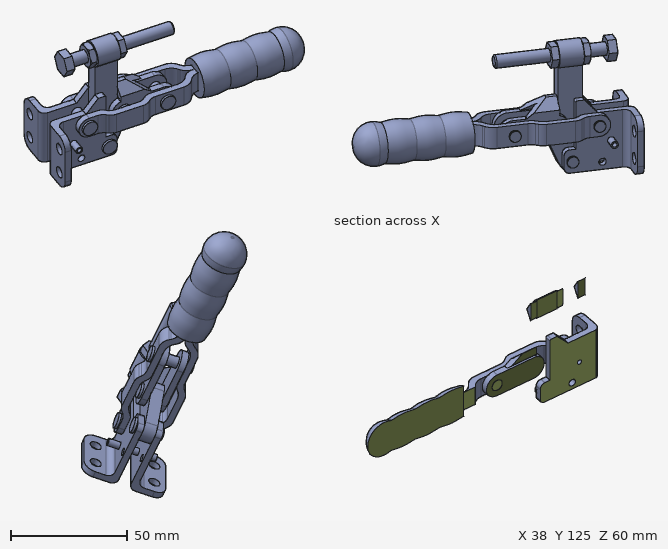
import cadquery as cq
import math


SHEET = 3.0
ARM_HALF = 2.9
INNER_HALF = ARM_HALF + SHEET
LEVER_HALF = INNER_HALF + SHEET
SELECT_MARGIN = 0.01

PIVOT_Z = 22.0
LEVER_PIVOT = (17.1, PIVOT_Z)
LINK_FRONT_PIVOT = (35.6, PIVOT_Z)
LINK_REAR_PIVOT = (55.1, PIVOT_Z)
ARM_LOBE_R = 5.4
ARM_PIVOT = (28.4, ARM_LOBE_R)

SHANK_D = 5.1
HEAD_D = 7.0
HEAD_PROUD = 1.1

FRAME_HALF_WIDTH = 19.0
FRAME_HEIGHT = 27.0
FLANGE_CORNER_R = 5.2
FLANGE_BEND_R = 3.0
FLANGE_HOLE_D = 5.1
FLANGE_HOLE_X = 13.6
FLANGE_HOLE_LEVELS = (7.0, 19.8)
EAR_TOP = 33.6
EAR_BACK = 26.9
EAR_CORNER_R = 0.8
FOOT_BACK = 32.1
FOOT_TOP = 11.0
FOOT_CORNER_R = 2.5
STOP_PIN_AT = (11.0, 13.2)
STOP_PIN_D = 3.2
STOP_PIN_BORE = 2.0
STOP_PIN_HALF_LENGTH = 11.2
SPARE_PIN_HOLE_AT = (14.9, 3.6)

ARM_FRONT = ARM_PIVOT[0] - ARM_LOBE_R
ARM_BACK = 34.0
BOSS_R = 6.0
SPINDLE_Z = 54.0

LINK_END_R = 5.9
ROOF_EAVE_Z = 30.2
ROOF_RIDGE_Z = 35.0
ROOF_CUT_BOTTOM_Y = 49.0
ROOF_CUT_TOP_Y = 38.9

LEVER_HALF_HEIGHT = 5.0
BULGE_BEND_R = 5.2
NECK_BEND_R = 6.1
BULGE_SHIFT = SHEET
BULGE_RUN = 3.9
BULGE_FRONT = 24.1
BULGE_BACK = 46.5
NECK_START = 64.8
NECK_END = 69.0
TANG_END = 100.0

GRIP_FRONT = 73.0
GRIP_END = 125.0
GRIP_BULGE_R = 9.8
GRIP_GROOVE_R = 9.0
GRIP_BULGES = 3
GRIP_BULGE_LENGTH = 13.0
GRIP_DOME_R = 9.1

SPINDLE_D = 6.0
SPINDLE_HEAD_FRONT = 7.9
SPINDLE_HEAD_LENGTH = 4.0
SPINDLE_TIP = 62.0
SPINDLE_TIP_CHAMFER = 0.6
HEX_FLATS = 10.0
HEX_CORNERS = HEX_FLATS / math.cos(math.pi / 6)
NUT_LENGTH = 3.2
NUT_CHAMFER_ANGLE = 30


def x_cylinder(pivot, diameter, x_start, x_end):
    """Cylinder along X between two X positions, centred on a (Y, Z) point."""
    return (cq.Workplane("YZ", origin=(x_start, 0, 0))
            .center(*pivot).circle(diameter / 2).extrude(x_end - x_start))


def y_cylinder(diameter, y_start, y_end):
    """Cylinder on the spindle axis between two Y positions."""
    return (cq.Workplane("XZ", origin=(0, y_start, SPINDLE_Z))
            .circle(diameter / 2).extrude(y_start - y_end))


def y_hexagon(y_start, y_end):
    """Hexagonal prism on the spindle axis with flats on top and bottom."""
    return (cq.Workplane("XZ", origin=(0, y_start, SPINDLE_Z))
            .polygon(6, HEX_CORNERS).extrude(y_start - y_end))


def shank(pivot, half_grip):
    """Rivet shank, also used to cut the matching holes."""
    reach = half_grip + HEAD_PROUD
    return x_cylinder(pivot, SHANK_D, -reach, reach)


def rivet(pivot, half_grip):
    """Rivet holding everything within half_grip of X = 0, head on the +X side."""
    head = x_cylinder(pivot, HEAD_D, half_grip, half_grip + HEAD_PROUD)
    return shank(pivot, half_grip).union(head)


def side_slab(profile, half_thickness):
    """Extrude a profile drawn in Y and Z evenly to both sides of X = 0."""
    return profile.extrude(half_thickness, both=True)


def both_sides(body):
    """A body on the +X side together with its mirror image."""
    return body.union(body.mirror("YZ"))


def make_frame_side():
    """One L-shaped sheet of the frame, on the +X side."""
    outline = (
        cq.Workplane("YZ", origin=(ARM_HALF, 0, 0))
        .moveTo(0, 0)
        .lineTo(FOOT_BACK, 0)
        .lineTo(FOOT_BACK, FOOT_TOP)
        .lineTo(EAR_BACK, FOOT_TOP)
        .lineTo(EAR_BACK, EAR_TOP)
        .lineTo(ARM_FRONT, EAR_TOP)
        .lineTo(LEVER_PIVOT[0], FRAME_HEIGHT)
        .lineTo(0, FRAME_HEIGHT)
        .close()
    )
    plate = outline.extrude(SHEET)
    foot_corners = cq.selectors.BoxSelector(
        (0, FOOT_BACK - SELECT_MARGIN, -SELECT_MARGIN),
        (INNER_HALF, FOOT_BACK + SELECT_MARGIN, FOOT_TOP + SELECT_MARGIN))
    plate = plate.edges("|X").edges(foot_corners).fillet(FOOT_CORNER_R)
    ear_corner = cq.selectors.BoxSelector(
        (0, EAR_BACK - SELECT_MARGIN, EAR_TOP - SELECT_MARGIN),
        (INNER_HALF, EAR_BACK + SELECT_MARGIN, EAR_TOP + SELECT_MARGIN))
    plate = plate.edges("|X").edges(ear_corner).fillet(EAR_CORNER_R)

    flange = cq.Workplane("XY").box(
        FRAME_HALF_WIDTH - ARM_HALF, SHEET, FRAME_HEIGHT, centered=False
    ).translate((ARM_HALF, 0, 0))
    flange = flange.edges("|Y and >X").fillet(FLANGE_CORNER_R)
    side = plate.union(flange)
    outer_bend = cq.selectors.NearestToPointSelector((ARM_HALF, 0, FRAME_HEIGHT / 2))
    side = side.edges(outer_bend).fillet(FLANGE_BEND_R)
    inner_bend = cq.selectors.NearestToPointSelector((INNER_HALF, SHEET, FRAME_HEIGHT / 2))
    side = side.edges(inner_bend).fillet(FLANGE_BEND_R)

    holes = (
        cq.Workplane("XZ")
        .pushPoints([(FLANGE_HOLE_X, level) for level in FLANGE_HOLE_LEVELS])
        .circle(FLANGE_HOLE_D / 2)
        .extrude(-SHEET)
    )
    spare_hole = x_cylinder(SPARE_PIN_HOLE_AT, STOP_PIN_D, 0, INNER_HALF)
    return side.cut(holes).cut(spare_hole)


def make_frame():
    """Both frame sheets, held together by two pivot rivets and the stop pin."""
    frame = both_sides(make_frame_side())
    frame = frame.union(rivet(LEVER_PIVOT, LEVER_HALF))
    frame = frame.union(rivet(ARM_PIVOT, INNER_HALF))
    pin_span = (-STOP_PIN_HALF_LENGTH, STOP_PIN_HALF_LENGTH)
    frame = frame.union(x_cylinder(STOP_PIN_AT, STOP_PIN_D, *pin_span))
    return frame.cut(x_cylinder(STOP_PIN_AT, STOP_PIN_BORE, *pin_span))


def make_arm():
    """Upright bar with a leaning foot between two pivots and a boss on top."""
    bar = side_slab(
        cq.Workplane("YZ")
        .moveTo(ARM_FRONT, ARM_PIVOT[1])
        .lineTo(ARM_PIVOT[0], ARM_PIVOT[1])
        .lineTo(*LINK_FRONT_PIVOT)
        .lineTo(ARM_BACK, PIVOT_Z)
        .lineTo(ARM_BACK, SPINDLE_Z)
        .lineTo(ARM_FRONT, SPINDLE_Z)
        .close(),
        ARM_HALF,
    )
    rise = LINK_FRONT_PIVOT[1] - ARM_PIVOT[1]
    run = LINK_FRONT_PIVOT[0] - ARM_PIVOT[0]
    middle = (ARM_PIVOT[0] + run / 2, ARM_PIVOT[1] + rise / 2)
    foot = side_slab(
        cq.Workplane("YZ")
        .center(*middle)
        .slot2D(math.hypot(run, rise) + 2 * ARM_LOBE_R, 2 * ARM_LOBE_R,
                math.degrees(math.atan2(rise, run))),
        ARM_HALF,
    )
    arm = bar.union(foot).union(y_cylinder(2 * BOSS_R, ARM_FRONT, ARM_BACK))
    arm = arm.cut(y_cylinder(SPINDLE_D, ARM_FRONT, ARM_BACK))
    arm = arm.cut(shank(ARM_PIVOT, INNER_HALF))
    return arm.cut(shank(LINK_FRONT_PIVOT, INNER_HALF))


def make_link():
    """Two round-ended legs joined by a roof behind the arm and the front rivet."""
    length = LINK_REAR_PIVOT[0] - LINK_FRONT_PIVOT[0]
    leg = (
        cq.Workplane("YZ", origin=(ARM_HALF, 0, 0))
        .center(LINK_FRONT_PIVOT[0] + length / 2, PIVOT_Z)
        .slot2D(length + 2 * LINK_END_R, 2 * LINK_END_R)
        .extrude(SHEET)
    )
    leg_top = PIVOT_Z + LINK_END_R
    ridge_half = INNER_HALF - (ROOF_RIDGE_Z - ROOF_EAVE_Z)
    inner_apex_z = INNER_HALF + ROOF_EAVE_Z - SHEET * math.sqrt(2)
    half_roof = (
        cq.Workplane("XZ", origin=(0, ARM_BACK, 0))
        .moveTo(ARM_HALF, PIVOT_Z)
        .lineTo(INNER_HALF, PIVOT_Z)
        .lineTo(INNER_HALF, ROOF_EAVE_Z)
        .lineTo(ridge_half, ROOF_RIDGE_Z)
        .lineTo(0, ROOF_RIDGE_Z)
        .lineTo(0, inner_apex_z)
        .lineTo(inner_apex_z - leg_top, leg_top)
        .lineTo(ARM_HALF, leg_top)
        .close()
        .extrude(ARM_BACK - ROOF_CUT_BOTTOM_Y)
    )
    roof_side = side_slab(
        cq.Workplane("YZ")
        .moveTo(ARM_BACK, PIVOT_Z)
        .lineTo(ROOF_CUT_BOTTOM_Y, PIVOT_Z)
        .lineTo(ROOF_CUT_BOTTOM_Y, leg_top)
        .lineTo(ROOF_CUT_TOP_Y, ROOF_RIDGE_Z)
        .lineTo(ARM_BACK, ROOF_RIDGE_Z)
        .close(),
        INNER_HALF,
    )
    link = both_sides(leg.union(half_roof.intersect(roof_side)))
    link = link.union(rivet(LINK_FRONT_PIVOT, INNER_HALF))
    return link.cut(shank(LINK_REAR_PIVOT, LEVER_HALF))


def offset_path(path, distance):
    """Path of straight runs moved sideways toward +X, keeping its corners sharp."""
    headings = [math.atan2(x2 - x1, y2 - y1) for (x1, y1), (x2, y2) in zip(path, path[1:])]
    before = [headings[0]] + headings
    after = headings + [headings[-1]]
    moved = []
    for (x, y), first, second in zip(path, before, after):
        bisector = (first + second) / 2
        reach = distance / math.cos((second - first) / 2)
        moved.append((x + reach * math.cos(bisector), y - reach * math.sin(bisector)))
    return moved


def make_lever_side():
    """One bent strip of the lever, on the +X side, with a rounded front end."""
    front = LEVER_PIVOT[0] - LEVER_HALF_HEIGHT
    bulge_x = INNER_HALF + BULGE_SHIFT
    inner_path = [
        (INNER_HALF, front),
        (INNER_HALF, BULGE_FRONT),
        (bulge_x, BULGE_FRONT + BULGE_RUN),
        (bulge_x, BULGE_BACK - BULGE_RUN),
        (INNER_HALF, BULGE_BACK),
        (INNER_HALF, NECK_START),
        (0, NECK_END),
        (0, TANG_END),
    ]
    outline = inner_path + offset_path(inner_path, SHEET)[::-1]
    strip = (
        cq.Workplane("XY", origin=(0, 0, PIVOT_Z))
        .polyline(outline).close()
        .extrude(LEVER_HALF_HEIGHT, both=True)
    )
    middle = (BULGE_BACK + NECK_START) / 2
    bend_groups = (
        (LEVER_PIVOT[0], middle, BULGE_BEND_R),
        (middle, TANG_END - SHEET, NECK_BEND_R),
    )
    for y_start, y_end, bend_r in bend_groups:
        bends = cq.selectors.BoxSelector(
            (-FRAME_HALF_WIDTH, y_start, 0), (FRAME_HALF_WIDTH, y_end, FRAME_HEIGHT))
        strip = strip.edges("|Z").edges(bends).fillet(bend_r)
    return strip.edges("|X and <Y").fillet(LEVER_HALF_HEIGHT - SELECT_MARGIN)


def make_lever():
    """Both lever strips with the rivet that carries the rear end of the link."""
    lever = both_sides(make_lever_side())
    lever = lever.union(rivet(LINK_REAR_PIVOT, LEVER_HALF))
    return lever.cut(shank(LEVER_PIVOT, LEVER_HALF))


def make_grip(lever):
    """Turned grip with barrel-shaped bulges and a domed end, fitted over the lever tang."""
    profile = cq.Workplane("XY").moveTo(0, GRIP_FRONT).lineTo(GRIP_GROOVE_R, GRIP_FRONT)
    for index in range(GRIP_BULGES):
        start = GRIP_FRONT + index * GRIP_BULGE_LENGTH
        profile = profile.threePointArc(
            (GRIP_BULGE_R, start + GRIP_BULGE_LENGTH / 2),
            (GRIP_GROOVE_R, start + GRIP_BULGE_LENGTH))
    dome_start = GRIP_END - GRIP_DOME_R
    dome_flat_r = GRIP_BULGE_R - GRIP_DOME_R
    groove_y = GRIP_FRONT + GRIP_BULGES * GRIP_BULGE_LENGTH
    swell_length = dome_start - groove_y
    swell_depth = GRIP_BULGE_R - GRIP_GROOVE_R
    swell_r = (swell_length ** 2 + swell_depth ** 2) / (2 * swell_depth)
    profile = (
        profile
        .radiusArc((GRIP_BULGE_R, dome_start), -swell_r)
        .radiusArc((dome_flat_r, GRIP_END), -GRIP_DOME_R)
        .lineTo(0, GRIP_END)
        .close()
    )
    grip = profile.revolve(360, (0, 0, 0), (0, 1, 0)).translate((0, 0, PIVOT_Z))
    return grip.cut(lever)


def make_spindle():
    """Hexagon-headed screw pointing back toward the grip."""
    rod = y_cylinder(SPINDLE_D, SPINDLE_HEAD_FRONT, SPINDLE_TIP)
    rod = rod.faces(">Y").chamfer(SPINDLE_TIP_CHAMFER)
    return rod.union(y_hexagon(SPINDLE_HEAD_FRONT, SPINDLE_HEAD_FRONT + SPINDLE_HEAD_LENGTH))


def make_nut(y_start, chamfered):
    """Hexagon nut on the spindle, with or without its corners turned down."""
    y_end = y_start + NUT_LENGTH
    nut = y_hexagon(y_start, y_end).cut(y_cylinder(SPINDLE_D, y_start, y_end))
    if chamfered:
        drop = (HEX_CORNERS - HEX_FLATS) / 2
        blank = y_cylinder(HEX_CORNERS, y_start, y_end)
        blank = blank.edges().chamfer(drop * math.tan(math.radians(NUT_CHAMFER_ANGLE)), drop)
        nut = nut.intersect(blank)
    return nut


frame = make_frame()
arm = make_arm()
link = make_link()
lever = make_lever()
grip = make_grip(lever)
spindle = make_spindle()
nuts = [
    make_nut(y_start, chamfered)
    for y_start, chamfered in ((ARM_FRONT - NUT_LENGTH, True), (ARM_BACK, False))
]

result = cq.Compound.makeCompound([
    frame.val(),
    arm.val(),
    link.val(),
    lever.val(),
    grip.val(),
    spindle.val(),
    *[nut.val() for nut in nuts],
])